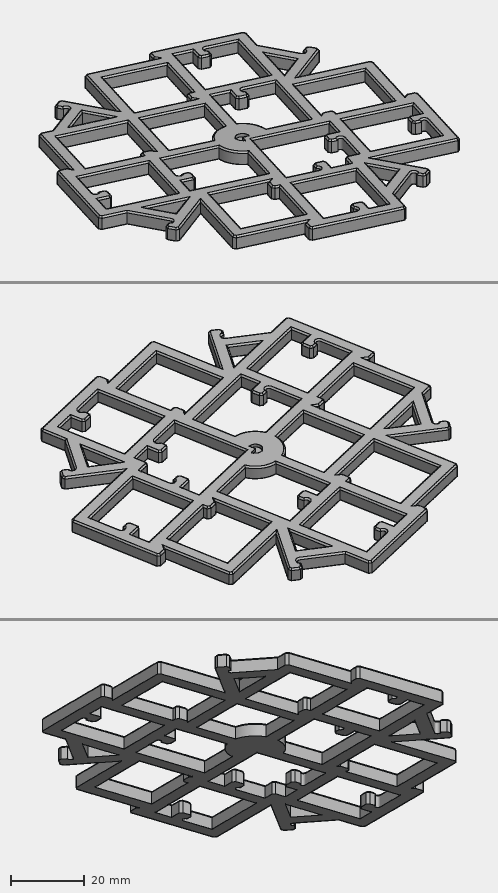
import cadquery as cq
import math

thickness = 4.0
pitch = 25.0
bar = 4.0
top_bevel = 0.5
corner = 0.75
hub_radius = 8.25
pocket_radius = 2.0
pocket_depth = 1.0
hook_length = 4.25
notch_radius = 0.8
strut_length = 16.0

half_bar = bar / 2
inner = pitch - bar
offset_face = pitch + bar
second = 2 * pitch
second_inner = second - bar
edge = second + bar
tab = bar
hook_line = (half_bar + inner) / 2


def wall(x_start, x_end, y_start, y_end):
    """Straight wall with its four vertical edges cut off."""
    return (
        cq.Workplane("XY")
        .box(x_end - x_start, y_end - y_start, thickness, centered=False)
        .edges("|Z")
        .chamfer(corner)
        .translate((x_start, y_start, 0))
    )


def turned(piece, angle, x=0.0, y=0.0):
    """Piece turned about Z by an angle in degrees, then moved to (x, y)."""
    return piece.rotate((0, 0, 0), (0, 0, 1), angle).translate((x, y, 0))


def three_quarter_disc(radius, height):
    """Disc on the origin with its +X +Y quarter left out."""
    diagonal = radius * math.sqrt(0.5)
    return (
        cq.Workplane("XY")
        .lineTo(0, radius)
        .threePointArc((-diagonal, -diagonal), (radius, 0))
        .close()
        .extrude(height)
    )


def all_walls():
    """Walls around the cells, along X and along Y."""
    walls = [
        wall(-half_bar, half_bar, -edge, edge),
        wall(-edge, edge, -half_bar, half_bar),
        wall(-pitch, -inner, -second, half_bar),
        wall(-pitch, -inner, inner, second),
        wall(inner, pitch, -edge, half_bar),
        wall(inner, pitch, inner, edge),
        wall(-edge, half_bar, inner, pitch),
        wall(inner, edge, inner, pitch),
        wall(-second, half_bar, -pitch, -inner),
        wall(inner, second, -pitch, -inner),
    ]
    for start in (-edge, -offset_face, pitch, second):
        walls.append(wall(-tab, pitch, start, start + bar))
        walls.append(wall(start, start + bar, -tab, pitch))
    for start in (-second, second_inner):
        walls.append(wall(-pitch, half_bar, start, start + bar))
        walls.append(wall(start, start + bar, -pitch, half_bar))
    return walls


def hook():
    """Hook growing in +Y from a wall face at y = 0, notched on its x = 0 side, body in +X."""
    body = wall(0, bar, -half_bar, hook_length)
    notch = (
        cq.Workplane("XY")
        .center(0, notch_radius)
        .circle(notch_radius)
        .extrude(thickness)
    )
    return body.cut(notch)


def cell_hooks():
    """Two hooks on each side of the hub, growing inward from the offset walls."""
    hooks = []
    for face in (pitch, second):
        hooks.append(turned(hook(), 0, hook_line, -face))
        hooks.append(turned(hook(), 90, face, hook_line))
        hooks.append(turned(hook(), 180, hook_line, face))
        hooks.append(turned(hook(), -90, -face, hook_line))
    return hooks


def corner_arms():
    """Four diagonal arms, each with a strut on one side and a hook at its tip."""
    arm_root = pitch * math.sqrt(2) - half_bar
    upright_arm = [
        wall(-half_bar, half_bar, arm_root, second),
        wall(-strut_length, half_bar, second_inner, second),
        hook().translate((-half_bar, second, 0)),
    ]
    arms = []
    for angle in (45, 135):
        for piece in upright_arm:
            left_piece = turned(piece, angle)
            arms += [left_piece, left_piece.mirror("YZ")]
    return arms


def bevelled_frame():
    """Walls, hooks and arms joined in one step, with all top edges bevelled."""
    pieces = all_walls() + cell_hooks() + corner_arms()
    first, *others = [piece.val() for piece in pieces]
    joined = cq.Workplane(first.fuse(*others).clean())
    return joined.faces(">Z").edges().chamfer(top_bevel)


def hub():
    """Three-quarter disc over the centre cross, bevelled along its rim only."""
    disc = three_quarter_disc(hub_radius, thickness)
    return disc.faces(">Z").edges("%CIRCLE").chamfer(top_bevel)


def hub_pocket():
    """Shallow three-quarter round pocket in the top of the hub."""
    pocket = three_quarter_disc(pocket_radius, pocket_depth)
    return pocket.translate((0, 0, thickness - pocket_depth))


result = bevelled_frame().union(hub()).cut(hub_pocket())